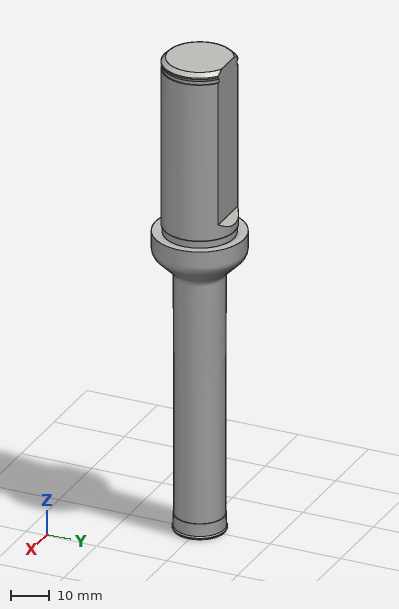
import cadquery as cq
import math

TOTAL_LENGTH = 136.0
TIP_RIM_Z = 0.4
HEAD_LIP_Z = 1.0
HEAD_SIDE_BOTTOM_Z = 1.4
HEAD_TOP_Z = 4.9
TAPER_BOTTOM_Z = 41.8
TAPER_TOP_Z = 67.9
COLLAR_TOP_Z = 86.1
LOWER_GROOVE_TOP_Z = 87.7
UPPER_GROOVE_BOTTOM_Z = 132.9
UPPER_GROOVE_TOP_Z = 133.8
LIP_BOTTOM_Z = 134.5
LIP_TOP_Z = 134.9

HEAD_RADIUS = 13.7 / 2
HEAD_SIDE_BOTTOM_RADIUS = 7.0
HEAD_LIP_RADIUS = 7.2
TIP_RIM_RADIUS = 7.0

STEM_RADIUS = 13.5 / 2
NECK_RADIUS = 13.7 / 2
COLLAR_RADIUS = 25.0 / 2
COLLAR_FILLET = 3.5
NECK_FILLET = 2.5
CONE_TOP_Z = 80.0
CONE_BOTTOM_Z = CONE_TOP_Z - (COLLAR_RADIUS - NECK_RADIUS)
COLLAR_RELIEF_RADIUS = 10.9
COLLAR_RELIEF_DEPTH = 0.3

SHANK_RADIUS = 20.0 / 2
GROOVE_RADIUS = 19.5 / 2
GROOVE_CHAMFER = SHANK_RADIUS - GROOVE_RADIUS
TOP_FACE_RADIUS = 8.8
FLAT_Y = 8.0
FLAT_BOTTOM_Z = 92.1


def make_head():
    """Short cutting head with a shallow conical tip and a thin lip at its rim."""
    return (
        cq.Workplane("XZ")
        .moveTo(0, 0)
        .lineTo(TIP_RIM_RADIUS, TIP_RIM_Z)
        .lineTo(HEAD_LIP_RADIUS, HEAD_LIP_Z)
        .lineTo(HEAD_SIDE_BOTTOM_RADIUS, HEAD_SIDE_BOTTOM_Z)
        .lineTo(HEAD_RADIUS, HEAD_TOP_Z)
        .lineTo(0, HEAD_TOP_Z)
        .close()
        .revolve(360, (0, 0), (0, 1))
    )


def cone_fillet(profile, radius, fillet, corner_z, side):
    """Draw the arc joining the 45 degree cone to a vertical wall.

    The side is 1 for the neck (concave, drawn from wall to cone) and
    -1 for the collar (convex, drawn from cone to wall).
    """
    tangent = fillet * math.tan(math.pi / 8)
    diagonal = tangent * math.sqrt(0.5)
    wall_point = (radius, corner_z - side * tangent)
    cone_point = (radius + side * diagonal, corner_z + side * diagonal)
    middle = (
        radius + side * fillet * (1 - math.cos(math.pi / 8)),
        corner_z + side * (fillet * math.sin(math.pi / 8) - tangent),
    )
    if side > 0:
        return profile.lineTo(*wall_point).threePointArc(middle, cone_point)
    return profile.lineTo(*cone_point).threePointArc(middle, wall_point)


def make_turned_holder():
    """Stem, collar and grooved shank as one turned shape."""
    profile = (
        cq.Workplane("XZ")
        .moveTo(0, HEAD_TOP_Z)
        .lineTo(STEM_RADIUS, HEAD_TOP_Z)
        .lineTo(STEM_RADIUS, TAPER_BOTTOM_Z)
        .lineTo(NECK_RADIUS, TAPER_TOP_Z)
    )
    profile = cone_fillet(profile, NECK_RADIUS, NECK_FILLET, CONE_BOTTOM_Z, 1)
    profile = cone_fillet(profile, COLLAR_RADIUS, COLLAR_FILLET, CONE_TOP_Z, -1)
    return (
        profile.lineTo(COLLAR_RADIUS, COLLAR_TOP_Z)
        .lineTo(COLLAR_RELIEF_RADIUS, COLLAR_TOP_Z)
        .lineTo(GROOVE_RADIUS, COLLAR_TOP_Z - COLLAR_RELIEF_DEPTH)
        .lineTo(GROOVE_RADIUS, LOWER_GROOVE_TOP_Z)
        .lineTo(SHANK_RADIUS, LOWER_GROOVE_TOP_Z + GROOVE_CHAMFER)
        .lineTo(SHANK_RADIUS, UPPER_GROOVE_BOTTOM_Z)
        .lineTo(GROOVE_RADIUS, UPPER_GROOVE_BOTTOM_Z)
        .lineTo(GROOVE_RADIUS, UPPER_GROOVE_TOP_Z)
        .lineTo(SHANK_RADIUS, LIP_BOTTOM_Z)
        .lineTo(SHANK_RADIUS, LIP_TOP_Z)
        .lineTo(TOP_FACE_RADIUS, TOTAL_LENGTH)
        .lineTo(0, TOTAL_LENGTH)
        .close()
        .revolve(360, (0, 0), (0, 1))
    )


def make_flat_cutter():
    """Material removed for the shank flat, ending in a 45 degree run-out."""
    run_out = COLLAR_RADIUS - FLAT_Y
    return (
        cq.Workplane("YZ")
        .moveTo(FLAT_Y, TOTAL_LENGTH)
        .lineTo(FLAT_Y, FLAT_BOTTOM_Z)
        .lineTo(COLLAR_RADIUS, FLAT_BOTTOM_Z - run_out)
        .lineTo(COLLAR_RADIUS, TOTAL_LENGTH)
        .close()
        .extrude(SHANK_RADIUS, both=True)
    )


head = make_head()
holder = make_turned_holder().cut(make_flat_cutter())

result = cq.Compound.makeCompound([head.val(), holder.val()])